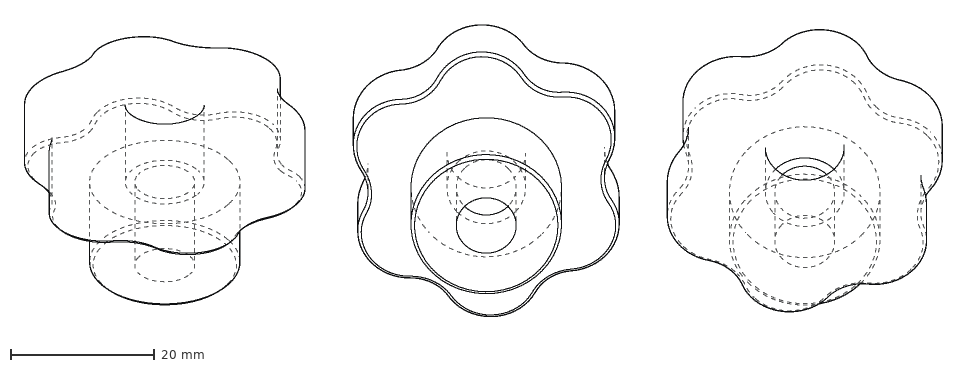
import cadquery as cq
import math

lobe_count = 6
overall_diameter = 40.0
lobe_radius = 7.0
lobe_center_distance = overall_diameter / 2 - lobe_radius
half_pitch = math.pi / lobe_count
lobe_spacing = 2 * lobe_center_distance * math.sin(half_pitch)
valley_center_distance = (
    lobe_center_distance * math.cos(half_pitch) + lobe_spacing * math.sqrt(3) / 2
)
valley_radius = lobe_spacing - lobe_radius

overall_height = 27.75
grip_bottom = 13.9
dome_radius = 79.98
rounding = 1.0

underside_flat_radius = 15.0
underside_rise = 0.6
edge_chamfer = 0.5

hub_diameter = 21.0
bore_diameter = 11.0
through_diameter = 8.35

crest_radius = bore_diameter / 2 + rounding
dome_center_height = (
    overall_height - rounding - math.sqrt((dome_radius - rounding) ** 2 - crest_radius**2)
)


def polar(distance, angle):
    return distance * math.cos(angle), distance * math.sin(angle)


def tangent_point(lobe_angle, side):
    """Point where a lobe meets the valley on the given side (+1 or -1)."""
    lobe_x, lobe_y = polar(lobe_center_distance, lobe_angle)
    valley_x, valley_y = polar(valley_center_distance, lobe_angle + side * half_pitch)
    share = lobe_radius / lobe_spacing
    return lobe_x + share * (valley_x - lobe_x), lobe_y + share * (valley_y - lobe_y)


def lobed_outline():
    """Closed outline of alternating lobe and valley arcs."""
    outline = cq.Workplane("XY").moveTo(*tangent_point(0, -1))
    valley_bottom = valley_center_distance - valley_radius
    for index in range(lobe_count):
        angle = 2 * half_pitch * index
        next_angle = angle + 2 * half_pitch
        outline = outline.threePointArc(
            polar(overall_diameter / 2, angle), tangent_point(angle, 1)
        )
        outline = outline.threePointArc(
            polar(valley_bottom, angle + half_pitch), tangent_point(next_angle, -1)
        )
    return outline.close()


def dome_height(radius):
    return dome_center_height + math.sqrt(dome_radius**2 - radius**2)


def grip_envelope():
    """Turned body with the domed top and coned underside, wider than the grip."""
    rim_radius = overall_diameter / 2
    outer_radius = rim_radius + edge_chamfer
    cone_slope = underside_rise / (rim_radius - underside_flat_radius)
    outer_bottom = grip_bottom + cone_slope * (outer_radius - underside_flat_radius)
    return (
        cq.Workplane("XZ")
        .moveTo(0, grip_bottom)
        .lineTo(underside_flat_radius, grip_bottom)
        .lineTo(outer_radius, outer_bottom)
        .lineTo(outer_radius, dome_height(outer_radius))
        .threePointArc((outer_radius / 2, dome_height(outer_radius / 2)), (0, dome_height(0)))
        .close()
        .revolve(360, (0, 0, 0), (0, 1, 0))
    )


def make_grip():
    prism = lobed_outline().extrude(dome_height(0))
    grip = prism.intersect(grip_envelope())
    bore = cq.Workplane("XY").circle(bore_diameter / 2).extrude(dome_height(0))
    grip = grip.cut(bore)
    grip = grip.faces(">Z").edges().fillet(rounding)
    rim_below = (
        grip.edges("not |Z")
        .edges(cq.selectors.BoxSelector(
            (-overall_diameter, -overall_diameter, grip_bottom + edge_chamfer / 10),
            (overall_diameter, overall_diameter, grip_bottom + 2 * underside_rise),
        ))
    )
    return rim_below.chamfer(edge_chamfer)


def make_hub():
    hub = cq.Workplane("XY").circle(hub_diameter / 2).extrude(grip_bottom)
    hub = hub.faces("<Z").edges().chamfer(edge_chamfer)
    through_hole = cq.Workplane("XY").circle(through_diameter / 2).extrude(grip_bottom)
    return hub.cut(through_hole)


result = make_grip().union(make_hub())